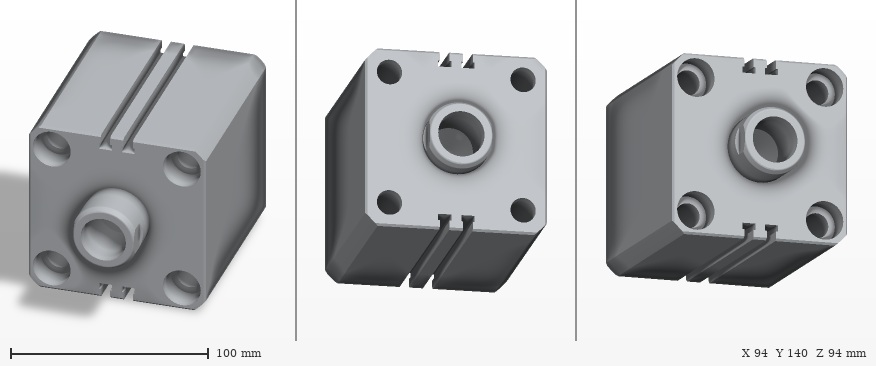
import cadquery as cq
import math

total_length = 140.0
front_reach = 23.0
rear_reach = 13.0
housing_width = 94.0
corner_flat_half = 40.5
end_chamfer = 1.1

hole_spacing = 69.0
hole_dia = 13.0
counterbore_dia = 20.0
counterbore_depth = 13.0

slot_offset = 6.0
slot_mouth_width = 5.0
slot_foot_width = 6.9
slot_mouth_depth = 4.8
slot_depth = 8.0

rod_dia = 35.0
rod_tip_dia = 31.8
rod_tip_length = 3.0
rod_tip_round = 1.0
flats_width = 32.0
flat_length = 10.0
bore_dia = 24.0
bore_depth = 30.0
bore_point_angle = 118.0

housing_length = total_length - front_reach - rear_reach
half_width = housing_width / 2
half_length = housing_length / 2
corner_radius = math.hypot(half_width, corner_flat_half)


def y_cylinder(dia, y_start, length, x=0, z=0):
    """Round bar along +Y from y_start."""
    return cq.Workplane("XZ", origin=(x, y_start, z)).circle(dia / 2).extrude(-length)


def make_slot(x, side):
    """T-slot cutter along the whole housing; side is +1 for the top, -1 for the bottom."""
    def strip(width, depth_from, depth_to):
        height = depth_to - depth_from
        z_middle = side * (half_width - (depth_from + depth_to) / 2)
        return cq.Workplane("XY").box(width, housing_length, height).translate((x, 0, z_middle))

    mouth = strip(slot_mouth_width, 0, slot_depth)
    foot = strip(slot_foot_width, slot_mouth_depth, slot_depth)
    return mouth.union(foot)


def make_housing():
    block = cq.Workplane("XY").box(housing_width, housing_length, housing_width)
    block = block.faces("<Y or >Y").edges().chamfer(end_chamfer)

    body = block.intersect(y_cylinder(2 * corner_radius, -half_length, housing_length))

    for x in (-slot_offset, slot_offset):
        for side in (-1, 1):
            body = body.cut(make_slot(x, side))

    for x in (-hole_spacing / 2, hole_spacing / 2):
        for z in (-hole_spacing / 2, hole_spacing / 2):
            body = body.cut(y_cylinder(hole_dia, -half_length, housing_length, x, z))
            body = body.cut(y_cylinder(counterbore_dia, -half_length, counterbore_depth, x, z))

    return body.cut(y_cylinder(rod_dia, -half_length, housing_length))


def make_rod(reach):
    """Rod from the housing centre towards +Y, standing out of the housing by reach."""
    end = half_length + reach
    rod_radius = rod_dia / 2
    bore_radius = bore_dia / 2
    bore_floor = end - bore_depth
    bore_point = bore_floor - bore_radius / math.tan(math.radians(bore_point_angle / 2))
    bar = (
        cq.Workplane("XY")
        .polyline([
            (0, 0),
            (rod_radius, 0),
            (rod_radius, end - rod_tip_length),
            (rod_tip_dia / 2, end),
            (0, end),
        ])
        .close()
        .revolve(360, (0, 0, 0), (0, 1, 0))
    )
    bar = bar.edges("%CIRCLE and (not <Y)").fillet(rod_tip_round)

    bore = (
        cq.Workplane("XY")
        .polyline([(0, end), (bore_radius, end), (bore_radius, bore_floor), (0, bore_point)])
        .close()
        .revolve(360, (0, 0, 0), (0, 1, 0))
    )
    rod = bar.cut(bore)

    flat_x = flats_width / 2
    flat_depth = rod_radius - flat_x
    flat_foot = end - flat_length
    for side in (-1, 1):
        flat = (
            cq.Workplane("XY")
            .polyline([
                (side * flat_x, end),
                (side * flat_x, flat_foot),
                (side * rod_radius, flat_foot - flat_depth),
                (side * rod_radius, end),
            ])
            .close()
            .extrude(rod_radius, both=True)
        )
        rod = rod.cut(flat)
    return rod


housing = make_housing()
rear_rod = make_rod(rear_reach)
front_rod = make_rod(front_reach).rotate((0, 0, 0), (0, 0, 1), 180)

result = cq.Compound.makeCompound([housing.val(), front_rod.val(), rear_rod.val()])